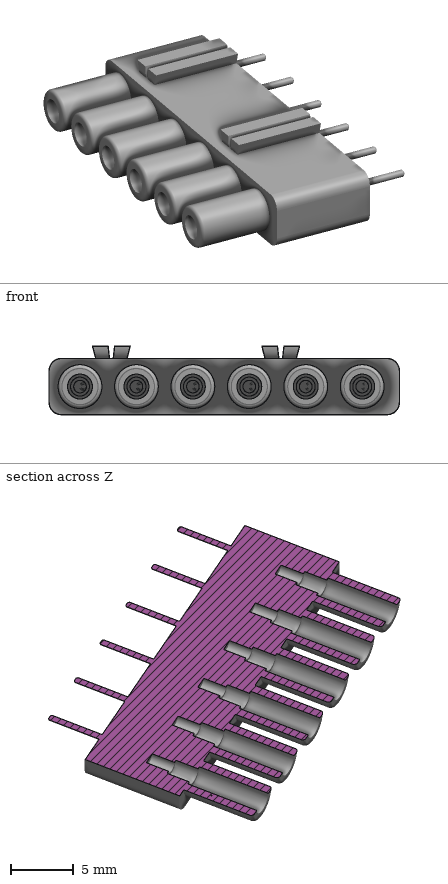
import cadquery as cq


block_width = 28.0
block_depth = 8.5
block_height = 4.5
block_corner_radius = 1.0

contact_count = 6
contact_pitch = 4.5
sleeve_row_shift = -0.25

sleeve_diameter = 3.5
sleeve_length = 6.2
sleeve_edge_radius = 0.3
bore_diameter = 2.0
bore_depth = sleeve_length
middle_bore_diameter = 1.5
inner_bore_diameter = 1.0
bore_step_depth = bore_diameter

pin_diameter = 0.6
pin_length = 4.6
pin_chamfer = 0.1

rail_height = 0.98
rail_length = 7.5
rail_foot_inner = 0.15
rail_foot_outer = 1.25
rail_top_inner = 0.25
rail_top_outer = 1.5
rail_pair_centers = [-2 * contact_pitch, contact_pitch]


def rod_along_y(x, start_y, diameter, length):
    """Cylinder on the contact row, running from start_y towards +Y (or -Y if length is negative)."""
    plane = cq.Plane(origin=(x, start_y, 0), xDir=(1, 0, 0), normal=(0, 1, 0))
    return cq.Workplane(plane).circle(diameter / 2).extrude(length)


def make_block():
    block = cq.Workplane("XY").box(block_width, block_depth, block_height)
    block = block.translate((0, block_depth / 2, 0))
    return block.edges("|Y").fillet(block_corner_radius)


def make_sleeve(x):
    sleeve = rod_along_y(x, 0, sleeve_diameter, -sleeve_length)
    return sleeve.faces("<Y").edges().fillet(sleeve_edge_radius)


def make_bore(x):
    """Blind hole narrowing in two steps, entered from the free end of a sleeve."""
    mouth_y = -sleeve_length
    middle_depth = bore_depth + bore_step_depth
    inner_depth = middle_depth + bore_step_depth
    bore = rod_along_y(x, mouth_y, bore_diameter, bore_depth)
    bore = bore.union(rod_along_y(x, mouth_y, middle_bore_diameter, middle_depth))
    return bore.union(rod_along_y(x, mouth_y, inner_bore_diameter, inner_depth))


def make_pin(x):
    pin = rod_along_y(x, block_depth, pin_diameter, pin_length)
    return pin.faces(">Y").edges().chamfer(pin_chamfer)


def make_rail(pair_center, side):
    """One rail of a pair; side is -1 for the left rail and +1 for the right rail."""
    foot_z = block_height / 2
    top_z = foot_z + rail_height
    profile = [
        (pair_center + side * rail_foot_inner, foot_z),
        (pair_center + side * rail_foot_outer, foot_z),
        (pair_center + side * rail_top_outer, top_z),
        (pair_center + side * rail_top_inner, top_z),
    ]
    back_face = cq.Workplane("XZ", origin=(0, block_depth, 0))
    return back_face.polyline(profile).close().extrude(rail_length)


result = make_block()

for index in range(contact_count):
    pin_x = (index - (contact_count - 1) / 2) * contact_pitch
    sleeve_x = pin_x + sleeve_row_shift
    result = result.union(make_pin(pin_x))
    result = result.union(make_sleeve(sleeve_x))
    result = result.cut(make_bore(sleeve_x))

for pair_center in rail_pair_centers:
    for side in (-1, 1):
        result = result.union(make_rail(pair_center, side))